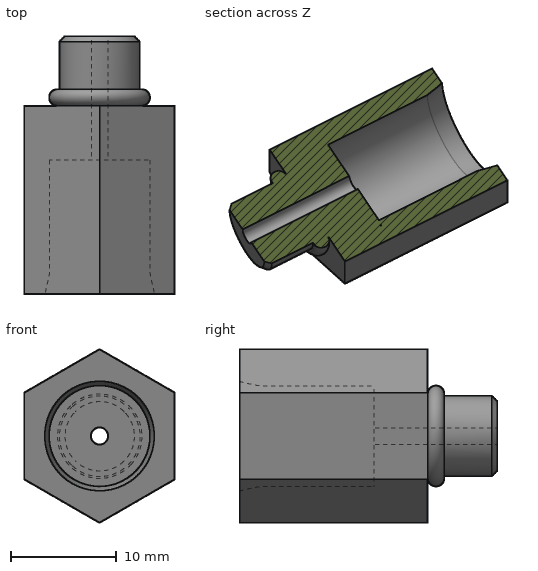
import cadquery as cq
import math

across_flats = 14.224
hex_sides = 6
across_corners = across_flats / math.cos(math.pi / hex_sides)
overall_length = 24.384
body_length = 17.78
stub_length = overall_length - body_length

stub_diameter = 7.62
stub_chamfer = 0.53
ring_diameter = 9.56
ring_thickness = 1.58

bore_diameter = 9.53
bore_depth = 12.7
bore_mouth_diameter = 10.36
bore_mouth_depth = 1.9
through_hole_diameter = 1.6


def cylinder_along_y(diameter, start, length):
    """Cylinder on the Y axis, from y = start towards +Y."""
    axis_plane = cq.Workplane("XZ", origin=(0, start, 0))
    return axis_plane.circle(diameter / 2).extrude(-length)


def make_body():
    """Hexagonal prism with corners pointing up and down."""
    corner_radius = across_corners / 2
    corner_spacing = 360 / hex_sides
    corner_angles = [math.radians(90 + corner_spacing * i) for i in range(hex_sides)]
    corners = [(corner_radius * math.cos(a), corner_radius * math.sin(a)) for a in corner_angles]
    return cq.Workplane("XZ").polyline(corners).close().extrude(-body_length)


def make_stub():
    """Plain cylinder with a chamfered free end."""
    stub = cylinder_along_y(stub_diameter, body_length, stub_length)
    return stub.faces(">Y").edges().chamfer(stub_chamfer)


def make_ring():
    """Disc with a half-round rim, seated on the end of the body."""
    rim_radius = ring_thickness / 2
    flat_radius = ring_diameter / 2 - rim_radius
    ring_end = body_length + ring_thickness
    profile = (
        cq.Workplane("XY")
        .moveTo(0, body_length)
        .lineTo(flat_radius, body_length)
        .threePointArc((ring_diameter / 2, body_length + rim_radius), (flat_radius, ring_end))
        .lineTo(0, ring_end)
        .close()
    )
    return profile.revolve(360, (0, 0, 0), (0, 1, 0))


def make_bore():
    """Flat-bottomed bore with a conical mouth."""
    bore_radius = bore_diameter / 2
    profile = (
        cq.Workplane("XY")
        .lineTo(bore_mouth_diameter / 2, 0)
        .lineTo(bore_radius, bore_mouth_depth)
        .lineTo(bore_radius, bore_depth)
        .lineTo(0, bore_depth)
        .close()
    )
    return profile.revolve(360, (0, 0, 0), (0, 1, 0))


through_hole = cylinder_along_y(through_hole_diameter, 0, overall_length)

result = make_body().union(make_stub()).union(make_ring()).cut(make_bore()).cut(through_hole)